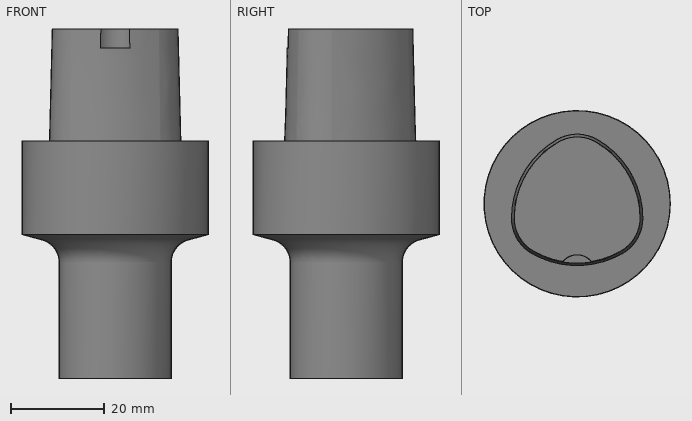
import cadquery as cq
import math

total_height = 75.0
shank_top = 25.0
collar_top = 51.0

shank_radius = 24.1 / 2
collar_radius = 40.0 / 2
fillet_radius = 4.95
cone_angle = math.radians(15)

corner_distance = 6.2
base_corner_radius = 8.7
top_corner_radius = 8.1
corner_angles = (90, 210, 330)

notch_radius = 4.0
notch_inner_y = -10.95
notch_depth = 4.1


def turned_body():
    """Revolve the shank, its fillet and cone, and the collar."""
    fillet_center = (shank_radius + fillet_radius, shank_top)

    def fillet_point(angle):
        return (
            fillet_center[0] - fillet_radius * math.cos(angle),
            fillet_center[1] + fillet_radius * math.sin(angle),
        )

    end_angle = math.pi / 2 - cone_angle
    cone_start = fillet_point(end_angle)
    collar_bottom = cone_start[1] + (collar_radius - cone_start[0]) * math.tan(cone_angle)
    return (
        cq.Workplane("XZ")
        .lineTo(shank_radius, 0)
        .lineTo(shank_radius, shank_top)
        .threePointArc(fillet_point(end_angle / 2), cone_start)
        .lineTo(collar_radius, collar_bottom)
        .lineTo(collar_radius, collar_top)
        .lineTo(0, collar_top)
        .close()
        .revolve(360, (0, 0, 0), (0, 1, 0))
    )


def triangle_wire(corner_radius, z):
    """Six tangent arcs of constant width: three corners and three sides."""
    side_radius = corner_radius + corner_distance * math.sqrt(3)

    def arc(center_angle, radius, middle_angle):
        center = math.radians(center_angle)
        points = []
        for offset in (-30, 0, 30):
            direction = math.radians(middle_angle + offset)
            points.append(cq.Vector(
                corner_distance * math.cos(center) + radius * math.cos(direction),
                corner_distance * math.sin(center) + radius * math.sin(direction),
                z,
            ))
        return cq.Edge.makeThreePointArc(*points)

    edges = []
    for angle in corner_angles:
        edges.append(arc(angle, corner_radius, angle))
        edges.append(arc(angle + 240, side_radius, angle + 60))
    return cq.Wire.assembleEdges(edges)


def taper():
    wires = [
        triangle_wire(base_corner_radius, collar_top),
        triangle_wire(top_corner_radius, total_height),
    ]
    return cq.Workplane(obj=cq.Solid.makeLoft(wires, True))


def notch():
    return (
        cq.Workplane("XY", origin=(0, notch_inner_y - notch_radius, total_height))
        .circle(notch_radius)
        .extrude(-notch_depth)
    )


result = turned_body().union(taper()).cut(notch())